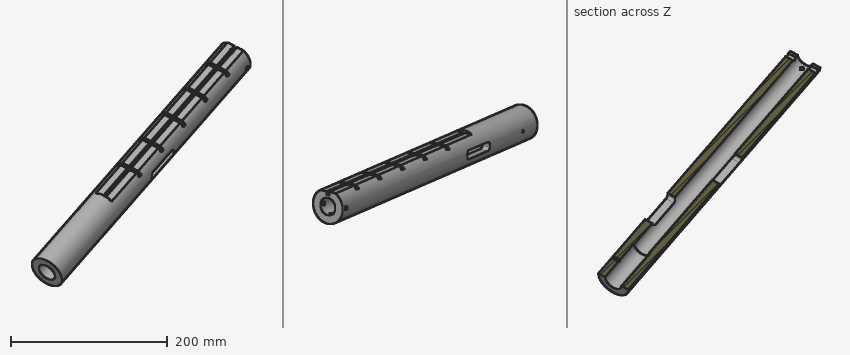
import cadquery as cq

LENGTH = 430.0
OUTER_DIAMETER = 46.5
BORE_DIAMETER = 23.2
COUNTERBORE_DIAMETER = 25.0
COUNTERBORE_DEPTH = 64.5
OUTER_RADIUS = OUTER_DIAMETER / 2
REAR_END = LENGTH / 2
FRONT_END = -LENGTH / 2

FLAT_LENGTH = 300.0
FLAT_HEIGHT = 19.8
FLAT_END = REAR_END - FLAT_LENGTH

GROOVE_WIDTH = 4.0
CROSS_GROOVE_WIDTH = 4.5
GROOVE_FLOOR = 15.5
GROOVE_COUNT = 5
GROOVE_SPAN = 200.0
GROOVE_PITCH = GROOVE_SPAN / (GROOVE_COUNT - 1)
FIRST_GROOVE_Y = REAR_END - 42.0

WINDOW_LENGTH = 50.0
WINDOW_HEIGHT = 12.0
WINDOW_CORNER_RADIUS = 4.5
LEFT_WINDOW_Y = FLAT_END
RIGHT_WINDOW_Y = REAR_END - 200.0

PIN_HOLE_DIAMETER = 5.0
PIN_HOLE_Y = REAR_END - 7.7
SMALL_HOLE_DIAMETER = 3.0
SMALL_HOLE_Y = FRONT_END + 32.0


def rod(diameter, start_y, length):
    """Cylinder along +Y from start_y."""
    plane = cq.Workplane("XZ", origin=(0, start_y, 0))
    return plane.circle(diameter / 2).extrude(-length)


def top_cut(width, length, center_y, floor):
    """Box that removes everything above the floor height."""
    plane = cq.Workplane("XY", origin=(0, center_y, floor))
    return plane.rect(width, length).extrude(OUTER_RADIUS)


def side_window(center_y, side):
    """Rounded rectangular cutter from the axis out through one wall (side is +1 or -1)."""
    window = cq.Workplane("YZ", origin=(0, center_y, 0)).rect(WINDOW_LENGTH, WINDOW_HEIGHT)
    return window.extrude(side * OUTER_DIAMETER).edges("|X").fillet(WINDOW_CORNER_RADIUS)


tube = rod(OUTER_DIAMETER, FRONT_END, LENGTH)
tube = tube.cut(rod(BORE_DIAMETER, FRONT_END, LENGTH))
tube = tube.cut(rod(COUNTERBORE_DIAMETER, FRONT_END, COUNTERBORE_DEPTH))

flat_center_y = (REAR_END + FLAT_END) / 2
tube = tube.cut(top_cut(OUTER_DIAMETER, FLAT_LENGTH, flat_center_y, FLAT_HEIGHT))
tube = tube.cut(top_cut(GROOVE_WIDTH, FLAT_LENGTH, flat_center_y, GROOVE_FLOOR))
for index in range(GROOVE_COUNT):
    groove_y = FIRST_GROOVE_Y - index * GROOVE_PITCH
    tube = tube.cut(top_cut(OUTER_DIAMETER, CROSS_GROOVE_WIDTH, groove_y, GROOVE_FLOOR))

tube = tube.cut(side_window(LEFT_WINDOW_Y, -1))
tube = tube.cut(side_window(RIGHT_WINDOW_Y, 1))

for plane_name in ("XY", "YZ"):
    pin_hole = cq.Workplane(plane_name, origin=(0, PIN_HOLE_Y, 0)).circle(PIN_HOLE_DIAMETER / 2)
    tube = tube.cut(pin_hole.extrude(OUTER_DIAMETER, both=True))

small_hole = cq.Workplane("YZ", origin=(0, SMALL_HOLE_Y, 0)).circle(SMALL_HOLE_DIAMETER / 2)
tube = tube.cut(small_hole.extrude(-OUTER_DIAMETER))

result = tube